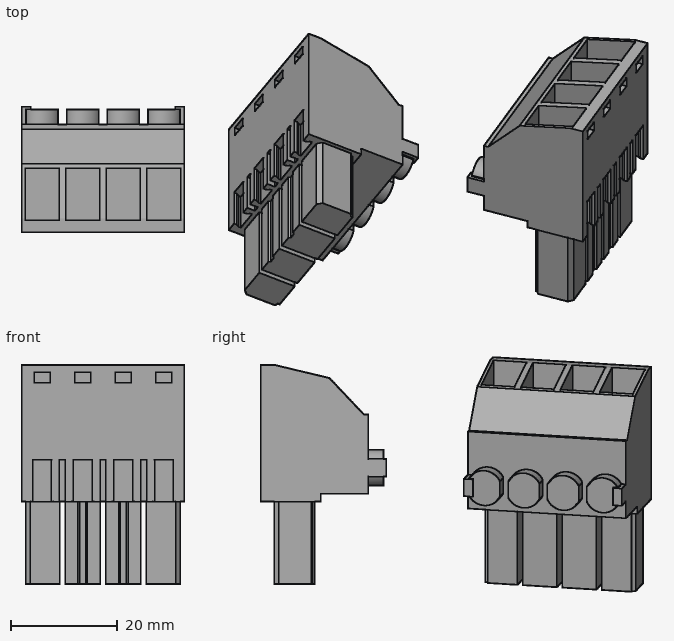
import cadquery as cq


width = 30.5
height = 41.15
poles = 4
pitch = 7.6
pole_centers = [(i - (poles - 1) / 2) * pitch for i in range(poles)]
gap_centers = [(i - poles / 2) * pitch for i in range(1, poles)]

body_bottom = 15.47
back_bottom = 16.9
back_step_y = 11.3
body_back = 20.25
back_ledge_y = 19.4
back_ledge_z = 31.85
slope_break_y = 12.92
slope_break_z = 38.7
top_flat_depth = 2.6

entry_width = 6.38
entry_front = 2.3
entry_back = 12.05
entry_floor = 24.7

window_width = 3.0
window_height = 1.9
window_top = 39.7
window_depth = 1.03

pocket_mouth_width = 3.5
pocket_back_width = 4.2
pocket_height = 7.9
pocket_depth = 1.65
flare_start_y = 0.6
flare_end_y = 1.15

slot_width = 1.1
slot_height = 7.8
slot_depth = pocket_depth

leg_gap = 1.0
leg_front = 2.55
leg_back = 10.2
leg_end_margin = 0.75
leg_chamfer = 0.85
notch_inset = 0.6
notch_inner_y = 9.85
notch_outer_y = 9.55
key_mouth_width = 1.75
key_floor_width = 1.2
key_depth = 0.35

screw_radius = 3.37
screw_width = 6.05
screw_length = 2.85
screw_z = 21.85
ear_width = 1.73
ear_height = 3.35
ear_length = 3.37


def box(x_center, size_x, y_front, y_back, z_low, z_high):
    """Axis-aligned block, centred on x_center."""
    return (
        cq.Workplane("XY", origin=(x_center, y_front, z_low))
        .box(size_x, y_back - y_front, z_high - z_low, centered=(True, False, False))
    )


def screw_head(x_center):
    """Disc along Y with a flat on either side, standing on the back face."""
    disc = (
        cq.Workplane("XZ", origin=(x_center, body_back, screw_z))
        .circle(screw_radius)
        .extrude(-screw_length)
    )
    flats = box(
        x_center, screw_width,
        body_back, body_back + screw_length,
        screw_z - screw_radius, screw_z + screw_radius,
    )
    return disc.intersect(flats)


def housing_block():
    """Side profile extruded over the full width."""
    profile = [
        (0, body_bottom),
        (back_step_y, body_bottom),
        (back_step_y, back_bottom),
        (body_back, back_bottom),
        (body_back, back_ledge_z),
        (back_ledge_y, back_ledge_z),
        (slope_break_y, slope_break_z),
        (top_flat_depth, height),
        (0, height),
    ]
    return cq.Workplane("YZ").polyline(profile).close().extrude(width / 2, both=True)


def coding_pocket(x_center):
    """Upright undercut pocket, open at the front and at the underside of the body."""
    half_mouth = pocket_mouth_width / 2
    half_back = pocket_back_width / 2
    outline = [
        (-half_mouth, 0),
        (half_mouth, 0),
        (half_mouth, flare_start_y),
        (half_back, flare_end_y),
        (half_back, pocket_depth),
        (-half_back, pocket_depth),
        (-half_back, flare_end_y),
        (-half_mouth, flare_start_y),
    ]
    sketch = cq.Workplane("XY", origin=(x_center, 0, body_bottom)).polyline(outline).close()
    return sketch.extrude(pocket_height)


def pole_openings(x_center):
    """Wire entry, window and coding pocket of one pole."""
    entry = box(x_center, entry_width, entry_front, entry_back, entry_floor, height)
    window = box(x_center, window_width, 0, window_depth, window_top - window_height, window_top)
    return entry.union(window).union(coding_pocket(x_center))


def end_leg():
    """Leg at the -X end: chamfered front corner and a slanted notch in the back corner."""
    outer = leg_end_margin - width / 2
    inner = gap_centers[0] - leg_gap / 2
    outline = [
        (outer + leg_chamfer, leg_front),
        (inner, leg_front),
        (inner, leg_back),
        (outer + notch_inset, leg_back),
        (outer + notch_inset, notch_inner_y),
        (outer, notch_outer_y),
        (outer, leg_front + leg_chamfer),
    ]
    return cq.Workplane("XY").polyline(outline).close().extrude(body_bottom)


def middle_leg(x_center):
    """Leg between two gaps, with a tapered keyway down its front."""
    leg = box(x_center, pitch - leg_gap, leg_front, leg_back, 0, body_bottom)
    keyway = [
        (x_center - key_mouth_width / 2, leg_front),
        (x_center + key_mouth_width / 2, leg_front),
        (x_center + key_floor_width / 2, leg_front + key_depth),
        (x_center - key_floor_width / 2, leg_front + key_depth),
    ]
    return leg.cut(cq.Workplane("XY").polyline(keyway).close().extrude(body_bottom))


def end_ear(side):
    """Ear at one end of the back face: side is -1 or 1 along X."""
    return box(
        side * (width - ear_width) / 2, ear_width,
        body_back, body_back + ear_length,
        screw_z - ear_height / 2, screw_z + ear_height / 2,
    )


screw_heads = [screw_head(x) for x in pole_centers]

housing = housing_block()
for side in (-1, 1):
    housing = housing.union(end_ear(side))
housing = housing.union(end_leg()).union(end_leg().mirror("YZ"))
for x in pole_centers[1:-1]:
    housing = housing.union(middle_leg(x))

for x in pole_centers:
    housing = housing.cut(pole_openings(x))
for x in gap_centers:
    housing = housing.cut(box(x, slot_width, 0, slot_depth, body_bottom, body_bottom + slot_height))

for head in screw_heads:
    housing = housing.cut(head)

result = cq.Compound.makeCompound([housing.val(), *[head.val() for head in screw_heads]])